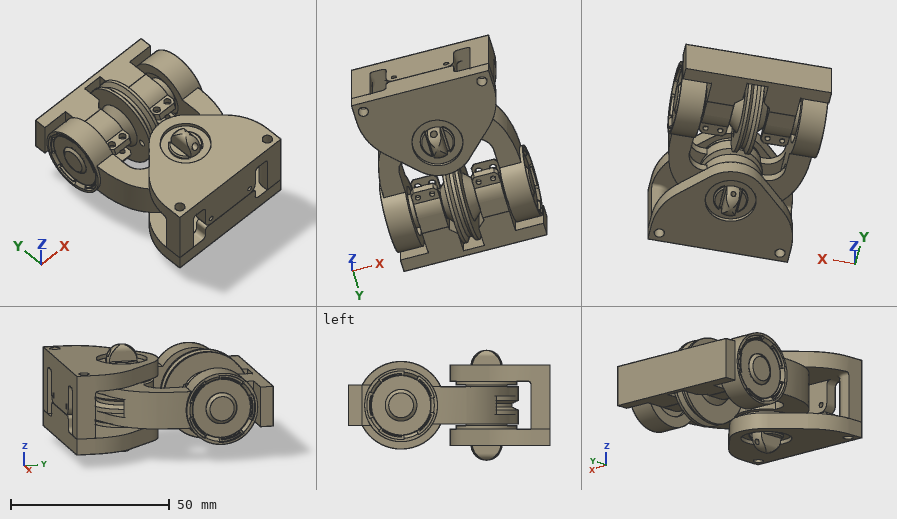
import cadquery as cq
import math

AXLE_Y = 26.95

CLEVIS_HALF_WIDTH = 22.5
CLEVIS_HALF_HEIGHT = 12.7
PLATE_THICKNESS = 5.15
PLATE_INNER_Z = CLEVIS_HALF_HEIGHT - PLATE_THICKNESS
WALL_FRONT_Y = -20.0
WALL_THICKNESS = 6.05
WALL_BACK_Y = WALL_FRONT_Y + WALL_THICKNESS
NOSE_RADIUS = 23.0 / 2
SHOULDER_Y = -0.95
TONGUE_HALF_WIDTH = 11.05
TONGUE_THICKNESS = 4.0
LEG_INNER_X = 16.4
WALL_SPLIT_Z = -2.55
WALL_SPLIT_GAP = 0.1
WINDOW_FILLET = 1.6
TONGUE_CORNER_RADIUS = 2.7
BLOCK_CORNER_RADIUS = 0.95
LEG_CORNER_RADIUS = 3.8
LEG_FILLET = 1.0
CORNER_HOLE_DIAMETER = 3.2
CORNER_HOLE_X = 19.45
CORNER_HOLE_Y = -17.0
SCREW_HOLE_DIAMETER = 1.6
SCREW_HOLE_X = 8.6

HINGE_FLANGE_DIAMETER = 19.1
SLEEVE_DIAMETER = 16.0
HINGE_BOSS_DIAMETER = 13.0
HINGE_FLANGE_THICKNESS = 1.15
HINGE_RECESS_DEPTH = 1.3
HINGE_FLOOR_Z = CLEVIS_HALF_HEIGHT - HINGE_RECESS_DEPTH

PIN_DIAMETER = 9.9
COLLAR_DIAMETER = 10.9
PIN_HALF_HEIGHT = CLEVIS_HALF_HEIGHT - 0.25
PIN_SLOT_WIDTH = 5.9
PIN_SLOT_FLOOR_Z = HINGE_FLOOR_Z - 0.5
LUG_WIDTH = 4.05
LUG_BALL_RADIUS = 9.8 / 2
LUG_TOP_Z = 17.35
LUG_HOLE_DIAMETER = 1.5
LUG_COUNTERBORE_DIAMETER = 2.2
LUG_COUNTERBORE_DEPTH = 3.8
LUG_HOLE_Z = 14.7

ARM_HALF_THICKNESS = 5.9
PRONG_OUTER_X = 22.5
PRONG_INNER_X = 15.45
CROTCH_Y = 5.1
CROTCH_RADIUS = 5.6
EYE_DIAMETER = 23.0
EYE_OUTER_X = 47.0 / 2
HUB_RADIUS = 20.0 / 2
CABLE_SLOT_WIDTH = 5.85
GROOVE_MOUTH_WIDTH = 3.05
GROOVE_FLOOR_WIDTH = 1.15
HUB_GROOVE_DEPTH = 1.9
HUB_TANGENT_ANGLE = 63.3

MOUTH_FLOOR_DIAMETER = 18.7
MOUTH_DIAMETER = 21.0
GROOVE_OUTER_DIAMETER = 21.6
GROOVE_FLOOR_DEPTH = 1.2
TAB_OUTER_DIAMETER = 20.0
TAB_INNER_DIAMETER = 19.3
TAB_DEPTH = 0.2
TAB_COUNT = 5
GROOVE_ANGLE = 46.0
TAB_ANGLE = 37.0

SPOOL_BEARING_DIAMETER = 19.0
SPOOL_BEARING_FACE_X = 22.5
SPOOL_FLANGE_THICKNESS = 1.15
SPOOL_RECESS_DEPTH = 1.3
SPOOL_FLOOR_X = PRONG_INNER_X + SPOOL_RECESS_DEPTH

SHAFT_DIAMETER = 10.0
SHAFT_END_X = 23.2
SHAFT_CHAMFER = 1.1
SHAFT_COLLAR_START_X = 14.5
SPOOL_RADIUS = 13.85
SPOOL_HALF_WIDTH = 2.55
SPOOL_GROOVE_DEPTH = 1.5
SPOOL_CONE_RADIUS = 7.8
SPOOL_CONE_END_X = 5.45
CABLE_HOLE_DIAMETER = 2.2
CABLE_HOLE_OFFSET = 10.0

FRAME_BACK_Y = WALL_FRONT_Y + 63.55
FRAME_BAR_DEPTH = 4.2
FRAME_HALF_HEIGHT = 6.4
CLAMP_INNER_X = 5.65
CLAMP_OUTER_X = 14.3
SPOOL_NOTCH_HALF_WIDTH = 3.4
SPOOL_NOTCH_DEPTH_Y = AXLE_Y + 14.75
SPOOL_NOTCH_FLARE_START = AXLE_Y + 8.45
SPOOL_NOTCH_FLARE_END = AXLE_Y + 6.3
TANG_HALF_HEIGHT = 4.75
TANG_FRONT_Y = AXLE_Y - 9.15
TANG_NOSE_SETBACK = 0.8
CLAMP_GAP = 5.7
CLAMP_HALF_HEIGHT = 6.55
CLAMP_BACK_Y = AXLE_Y + 5.3
TANG_CORNER_CHAMFER = 1.0
TANG_CLEARANCE_DIAMETER = 2.2
TANG_THREAD_DIAMETER = 1.6
TANG_HOLE_OFFSETS = (2.0, 6.7)
TANG_HOLE_Y = AXLE_Y - 6.35


def box(x0, x1, y0, y1, z0, z1):
    return cq.Workplane().box(x1 - x0, y1 - y0, z1 - z0, centered=False).translate((x0, y0, z0))


def disc_z(diameter, z0, z1):
    return cq.Workplane().workplane(offset=z0).circle(diameter / 2).extrude(z1 - z0)


def disc_x(diameter, x0, x1):
    """Cylinder on the spool axis."""
    return cq.Workplane("YZ", origin=(x0, AXLE_Y, 0)).circle(diameter / 2).extrude(x1 - x0)


def cone_x(diameter_0, diameter_1, x0, x1):
    """Cone frustum on the spool axis."""
    cone = cq.Solid.makeCone(
        diameter_0 / 2, diameter_1 / 2, x1 - x0, cq.Vector(x0, AXLE_Y, 0), cq.Vector(1, 0, 0)
    )
    return cq.Workplane(obj=cone)


def hole_y(diameter, x, z, y0, y1):
    return cq.Workplane("XZ", origin=(x, y0, z)).circle(diameter / 2).extrude(y0 - y1)


def tangent_arc_middle(start, end):
    """Middle of the arc that leaves start along Y and curves inwards to end, both at x > 0."""
    drop_x = start[0] - end[0]
    drop_y = start[1] - end[1]
    radius = (drop_x**2 + drop_y**2) / (2 * drop_x)
    half_angle = math.asin(drop_y / radius) / 2
    return (start[0] - radius * (1 - math.cos(half_angle)), start[1] - radius * math.sin(half_angle))


def mirrored(point):
    return (-point[0], point[1])


def clevis_plate():
    """Plate on the +Z side, with the bearing bore, before its part of the wall is added."""
    tangent = NOSE_RADIUS * math.sqrt(0.5)
    side_end = (CLEVIS_HALF_WIDTH, WALL_BACK_Y)
    shoulder = (2 * tangent - SHOULDER_Y, SHOULDER_Y)
    arc_middle = tangent_arc_middle(side_end, shoulder)
    plate = (
        cq.Workplane()
        .workplane(offset=PLATE_INNER_Z)
        .moveTo(-CLEVIS_HALF_WIDTH, WALL_FRONT_Y)
        .lineTo(CLEVIS_HALF_WIDTH, WALL_FRONT_Y)
        .lineTo(*side_end)
        .threePointArc(arc_middle, shoulder)
        .lineTo(tangent, tangent)
        .threePointArc((0, NOSE_RADIUS), (-tangent, tangent))
        .lineTo(*mirrored(shoulder))
        .threePointArc(mirrored(arc_middle), mirrored(side_end))
        .close()
        .extrude(PLATE_THICKNESS)
    )
    return plate.cut(disc_z(SLEEVE_DIAMETER, PLATE_INNER_Z, CLEVIS_HALF_HEIGHT))


def drill_corner_holes(body):
    for x in (-CORNER_HOLE_X, CORNER_HOLE_X):
        hole = disc_z(CORNER_HOLE_DIAMETER, -CLEVIS_HALF_HEIGHT, CLEVIS_HALF_HEIGHT)
        body = body.cut(hole.translate((x, CORNER_HOLE_Y, 0)))
    return body


def tongue_block(z0, z1):
    tongue_back_y = WALL_FRONT_Y + TONGUE_THICKNESS
    return box(-TONGUE_HALF_WIDTH, TONGUE_HALF_WIDTH, WALL_FRONT_Y, tongue_back_y, z0, z1)


def leg():
    """Leg on the +X side, rounded at its inner back edge."""
    post = box(
        LEG_INNER_X, CLEVIS_HALF_WIDTH, WALL_FRONT_Y, WALL_BACK_Y, -PLATE_INNER_Z, PLATE_INNER_Z
    )
    return post.edges("|Z and <X and >Y").fillet(LEG_CORNER_RADIUS)


def fillet_at(body, points, radius):
    """Fillet the edges whose middles lie at the given points."""
    for point in points:
        body = body.edges(cq.NearestToPointSelector(point)).fillet(radius)
    return body


def upper_clevis():
    """Plate with two legs that stand on the lower plate and a tongue between them."""
    tongue = tongue_block(WALL_SPLIT_Z, PLATE_INNER_Z)
    tongue = tongue.edges("|Y and <Z").fillet(TONGUE_CORNER_RADIUS)
    body = clevis_plate().union(leg()).union(leg().mirror("YZ")).union(tongue)
    body = drill_corner_holes(body)
    tongue_middle_y = WALL_FRONT_Y + TONGUE_THICKNESS / 2
    leg_straight_middle_y = (WALL_FRONT_Y + WALL_BACK_Y - LEG_CORNER_RADIUS) / 2
    for side in (-1, 1):
        tongue_root = (side * TONGUE_HALF_WIDTH, tongue_middle_y, PLATE_INNER_Z)
        leg_root = (side * LEG_INNER_X, leg_straight_middle_y, PLATE_INNER_Z)
        body = fillet_at(body, [tongue_root], WINDOW_FILLET)
        body = fillet_at(body, [leg_root], LEG_FILLET)
    for x in (-SCREW_HOLE_X, SCREW_HOLE_X):
        body = body.cut(hole_y(SCREW_HOLE_DIAMETER, x, 0, WALL_FRONT_Y, WALL_BACK_Y))
    return body


def lower_clevis():
    """Plate with a raised block that meets the tongue of the upper plate."""
    block = tongue_block(-PLATE_INNER_Z, WALL_SPLIT_Z - WALL_SPLIT_GAP)
    block = block.edges("|Y and >Z").fillet(BLOCK_CORNER_RADIUS)
    body = clevis_plate().mirror("XY").union(block)
    middle_y = WALL_FRONT_Y + TONGUE_THICKNESS / 2
    feet = [(side * TONGUE_HALF_WIDTH, middle_y, -PLATE_INNER_Z) for side in (-1, 1)]
    return drill_corner_holes(fillet_at(body, feet, WINDOW_FILLET))


def hinge_bearing():
    """Flanged bearing on the +Z side."""
    flange_inner_z = PLATE_INNER_Z - HINGE_FLANGE_THICKNESS
    boss = disc_z(HINGE_BOSS_DIAMETER, ARM_HALF_THICKNESS, flange_inner_z)
    flange = disc_z(HINGE_FLANGE_DIAMETER, flange_inner_z, PLATE_INNER_Z)
    sleeve = disc_z(SLEEVE_DIAMETER, PLATE_INNER_Z, HINGE_FLOOR_Z)
    bore = disc_z(PIN_DIAMETER, 0, HINGE_FLOOR_Z)
    return boss.union(flange).union(sleeve).cut(bore)


def pin_lug():
    """Ball-ended lug on the +Z end of the pin, with a cross hole counterbored from the front."""
    round_radius = LUG_WIDTH / 2
    round_z = LUG_TOP_Z - round_radius
    ball_z = LUG_TOP_Z - LUG_BALL_RADIUS
    ball = cq.Workplane().sphere(LUG_BALL_RADIUS).translate((0, 0, ball_z))
    stem = disc_z(2 * LUG_BALL_RADIUS, PIN_SLOT_FLOOR_Z, ball_z)
    profile = (
        cq.Workplane("XZ", origin=(0, LUG_BALL_RADIUS, 0))
        .moveTo(-round_radius, PIN_SLOT_FLOOR_Z)
        .lineTo(round_radius, PIN_SLOT_FLOOR_Z)
        .lineTo(round_radius, round_z)
        .threePointArc((0, LUG_TOP_Z), (-round_radius, round_z))
        .close()
        .extrude(2 * LUG_BALL_RADIUS)
    )
    lug = ball.union(stem).intersect(profile)
    lug = lug.cut(hole_y(LUG_HOLE_DIAMETER, 0, LUG_HOLE_Z, -LUG_BALL_RADIUS, LUG_BALL_RADIUS))
    counterbore_end = LUG_COUNTERBORE_DEPTH - LUG_BALL_RADIUS
    return lug.cut(
        hole_y(LUG_COUNTERBORE_DIAMETER, 0, LUG_HOLE_Z, -LUG_BALL_RADIUS, counterbore_end)
    )


def hinge_pin():
    """Pin with a collar at each end; a slot splits the collar and holds the lug."""
    pin = disc_z(PIN_DIAMETER, -PIN_HALF_HEIGHT, PIN_HALF_HEIGHT)
    collar = disc_z(COLLAR_DIAMETER, HINGE_FLOOR_Z, PIN_HALF_HEIGHT)
    collar = collar.faces(">Z").chamfer((COLLAR_DIAMETER - PIN_DIAMETER) / 2)
    half_slot = PIN_SLOT_WIDTH / 2
    slot = box(
        -half_slot, half_slot, -COLLAR_DIAMETER, COLLAR_DIAMETER, PIN_SLOT_FLOOR_Z, PIN_HALF_HEIGHT
    )
    lug = pin_lug()
    pin = pin.union(collar).union(collar.mirror("XY"))
    pin = pin.cut(slot).cut(slot.mirror("XY"))
    return pin.union(lug).union(lug.mirror("XY"))


def arm_outline():
    """Solid fork, full thickness, before eyes, hub and cable slot."""
    prong_end = (PRONG_OUTER_X, 15.8)
    bend = (21.15, 6.3)
    flank = (17.5, SHOULDER_Y)
    heel = (7.95, -7.25)
    tangent_angle = math.radians(HUB_TANGENT_ANGLE)
    toe = (HUB_RADIUS * math.cos(tangent_angle), -HUB_RADIUS * math.sin(tangent_angle))
    bend_middle = tangent_arc_middle(prong_end, bend)
    fork = (
        cq.Workplane()
        .workplane(offset=-ARM_HALF_THICKNESS)
        .moveTo(PRONG_OUTER_X, AXLE_Y)
        .lineTo(*prong_end)
        .threePointArc(bend_middle, bend)
        .threePointArc(flank, heel)
        .lineTo(*toe)
        .lineTo(*mirrored(toe))
        .lineTo(*mirrored(heel))
        .threePointArc(mirrored(flank), mirrored(bend))
        .threePointArc(mirrored(bend_middle), mirrored(prong_end))
        .lineTo(-PRONG_OUTER_X, AXLE_Y)
        .close()
        .extrude(2 * ARM_HALF_THICKNESS)
    )
    crotch = box(
        -PRONG_INNER_X, PRONG_INNER_X, CROTCH_Y, AXLE_Y + EYE_DIAMETER,
        -ARM_HALF_THICKNESS, ARM_HALF_THICKNESS,
    )
    crotch = crotch.edges("|Z and <Y").fillet(CROTCH_RADIUS)
    return fork.cut(crotch)


def grooved_hub():
    groove_floor_radius = HUB_RADIUS - HUB_GROOVE_DEPTH
    return (
        cq.Workplane("XZ")
        .moveTo(0, -ARM_HALF_THICKNESS)
        .lineTo(HUB_RADIUS, -ARM_HALF_THICKNESS)
        .lineTo(HUB_RADIUS, -GROOVE_MOUTH_WIDTH / 2)
        .lineTo(groove_floor_radius, -GROOVE_FLOOR_WIDTH / 2)
        .lineTo(groove_floor_radius, GROOVE_FLOOR_WIDTH / 2)
        .lineTo(HUB_RADIUS, GROOVE_MOUTH_WIDTH / 2)
        .lineTo(HUB_RADIUS, ARM_HALF_THICKNESS)
        .lineTo(0, ARM_HALF_THICKNESS)
        .close()
        .revolve(360, (0, 0, 0), (0, 1, 0))
    )


def eye_sector(diameter, angle, depth):
    """Round-ended sector of the +X eye, centred on -Y and reaching in from its outer face."""
    half_angle = math.radians(angle / 2)
    half_chord = EYE_DIAMETER * math.tan(half_angle)
    wedge = (
        cq.Workplane("YZ", origin=(EYE_OUTER_X - depth, AXLE_Y, 0))
        .polyline([(0, 0), (-EYE_DIAMETER, -half_chord), (-EYE_DIAMETER, half_chord)])
        .close()
        .extrude(depth)
    )
    return wedge.intersect(disc_x(diameter, EYE_OUTER_X - depth, EYE_OUTER_X))


def eye_pocket():
    """Opening in the outer face of the +X eye: a flared mouth and the grooves around the tabs."""
    groove_floor_x = EYE_OUTER_X - GROOVE_FLOOR_DEPTH
    tab_top_x = EYE_OUTER_X - TAB_DEPTH
    core = disc_x(MOUTH_FLOOR_DIAMETER, groove_floor_x, EYE_OUTER_X)
    tab = eye_sector(TAB_OUTER_DIAMETER, TAB_ANGLE, GROOVE_FLOOR_DEPTH)
    tab = tab.cut(disc_x(TAB_OUTER_DIAMETER, tab_top_x, EYE_OUTER_X)).cut(core)
    tab = tab.cut(
        cone_x(MOUTH_FLOOR_DIAMETER, TAB_INNER_DIAMETER, SPOOL_BEARING_FACE_X, tab_top_x)
    )
    groove = eye_sector(GROOVE_OUTER_DIAMETER, GROOVE_ANGLE, GROOVE_FLOOR_DEPTH).cut(core)
    pocket = cone_x(MOUTH_FLOOR_DIAMETER, MOUTH_DIAMETER, SPOOL_BEARING_FACE_X, EYE_OUTER_X)
    for index in range(TAB_COUNT):
        turn = (index + 0.5) * 360 / TAB_COUNT
        pocket = pocket.union(groove.rotate((0, AXLE_Y, 0), (1, AXLE_Y, 0), turn))
        pocket = pocket.cut(tab.rotate((0, AXLE_Y, 0), (1, AXLE_Y, 0), turn))
    return pocket


def arm():
    body = arm_outline()
    half_slot = CABLE_SLOT_WIDTH / 2
    body = body.cut(
        box(-PRONG_INNER_X, PRONG_INNER_X, -HUB_RADIUS, CROTCH_Y + CROTCH_RADIUS, -half_slot, half_slot)
    )
    body = body.union(grooved_hub())
    body = body.cut(disc_z(PIN_DIAMETER, -ARM_HALF_THICKNESS, ARM_HALF_THICKNESS))
    eye = disc_x(EYE_DIAMETER, PRONG_INNER_X, EYE_OUTER_X)
    recess = disc_x(SLEEVE_DIAMETER, PRONG_INNER_X, SPOOL_FLOOR_X)
    pocket = eye_pocket().union(spool_bearing_blank()).union(recess)
    body = body.union(eye).cut(pocket)
    return body.union(eye.mirror("YZ")).cut(pocket.mirror("YZ"))


def spool_bearing_blank():
    """Bearing on the +X side before its shaft bore."""
    flange_inner_x = SPOOL_BEARING_FACE_X - SPOOL_FLANGE_THICKNESS
    flange = disc_x(SPOOL_BEARING_DIAMETER, flange_inner_x, SPOOL_BEARING_FACE_X)
    sleeve = disc_x(SLEEVE_DIAMETER, SPOOL_FLOOR_X, flange_inner_x)
    return flange.union(sleeve)


def spool_bearing():
    return spool_bearing_blank().cut(disc_x(SHAFT_DIAMETER, 0, SHAFT_END_X))


def spool():
    """Grooved disc with conical cheeks on a chamfered shaft that has a collar at each bearing."""
    disc = disc_x(2 * SPOOL_RADIUS, -SPOOL_HALF_WIDTH, SPOOL_HALF_WIDTH)
    floor_radius = SPOOL_RADIUS - SPOOL_GROOVE_DEPTH
    groove = (
        cq.Workplane()
        .moveTo(-GROOVE_MOUTH_WIDTH / 2, AXLE_Y + SPOOL_RADIUS)
        .lineTo(-GROOVE_FLOOR_WIDTH / 2, AXLE_Y + floor_radius)
        .lineTo(GROOVE_FLOOR_WIDTH / 2, AXLE_Y + floor_radius)
        .lineTo(GROOVE_MOUTH_WIDTH / 2, AXLE_Y + SPOOL_RADIUS)
        .close()
        .revolve(360, (0, AXLE_Y, 0), (1, AXLE_Y, 0))
    )
    shaft = disc_x(SHAFT_DIAMETER, -SHAFT_END_X, SHAFT_END_X).faces("|X").chamfer(SHAFT_CHAMFER)
    cheek = cone_x(2 * SPOOL_CONE_RADIUS, SHAFT_DIAMETER, SPOOL_HALF_WIDTH, SPOOL_CONE_END_X)
    collar = disc_x(COLLAR_DIAMETER, SHAFT_COLLAR_START_X, SPOOL_FLOOR_X)
    cable_hole = disc_x(CABLE_HOLE_DIAMETER, -SPOOL_HALF_WIDTH, SPOOL_HALF_WIDTH)
    body = disc.cut(groove).union(shaft)
    for side_part in (cheek, collar):
        body = body.union(side_part).union(side_part.mirror("YZ"))
    return body.cut(cable_hole.translate((0, -CABLE_HOLE_OFFSET, 0)))


def clamp():
    """Clamp on the +X side: a barrel on the shaft, split in front between two drilled tangs."""
    height = CLAMP_HALF_HEIGHT
    gap_z = CLAMP_GAP / 2
    block = box(CLAMP_INNER_X, CLAMP_OUTER_X, AXLE_Y, CLAMP_BACK_Y, -height, height)
    barrel = disc_x(2 * height, CLAMP_INNER_X, CLAMP_OUTER_X)
    tang = box(CLAMP_INNER_X, CLAMP_OUTER_X, TANG_FRONT_Y, AXLE_Y, gap_z, TANG_HALF_HEIGHT)
    nose_bevel = (
        cq.Workplane("YZ")
        .moveTo(TANG_FRONT_Y, gap_z)
        .lineTo(TANG_FRONT_Y, TANG_HALF_HEIGHT)
        .lineTo(TANG_FRONT_Y + TANG_NOSE_SETBACK, TANG_HALF_HEIGHT)
        .close()
        .extrude(CLAMP_OUTER_X)
    )
    tang = tang.cut(nose_bevel).faces("<Y").edges("not |X").chamfer(TANG_CORNER_CHAMFER)
    gap = box(CLAMP_INNER_X, CLAMP_OUTER_X, TANG_FRONT_Y, AXLE_Y, -gap_z, gap_z)
    body = block.union(barrel).cut(gap).union(tang).union(tang.mirror("XY"))
    for offset in TANG_HOLE_OFFSETS:
        center = (CLAMP_INNER_X + offset, TANG_HOLE_Y, 0)
        clearance = disc_z(TANG_CLEARANCE_DIAMETER, gap_z, TANG_HALF_HEIGHT)
        thread = disc_z(TANG_THREAD_DIAMETER, -TANG_HALF_HEIGHT, -gap_z)
        body = body.cut(clearance.translate(center)).cut(thread.translate(center))
    return body


def frame():
    height = FRAME_HALF_HEIGHT
    bar_front_y = FRAME_BACK_Y - FRAME_BAR_DEPTH
    bar = box(-EYE_OUTER_X, EYE_OUTER_X, bar_front_y, FRAME_BACK_Y, -height, height)
    web = box(-CLAMP_OUTER_X, CLAMP_OUTER_X, CLAMP_BACK_Y, bar_front_y, -height, height)
    notch_outline = [
        (CLAMP_INNER_X, CLAMP_BACK_Y),
        (CLAMP_INNER_X, SPOOL_NOTCH_FLARE_END),
        (SPOOL_NOTCH_HALF_WIDTH, SPOOL_NOTCH_FLARE_START),
        (SPOOL_NOTCH_HALF_WIDTH, SPOOL_NOTCH_DEPTH_Y),
        (-SPOOL_NOTCH_HALF_WIDTH, SPOOL_NOTCH_DEPTH_Y),
        (-SPOOL_NOTCH_HALF_WIDTH, SPOOL_NOTCH_FLARE_START),
        (-CLAMP_INNER_X, SPOOL_NOTCH_FLARE_END),
        (-CLAMP_INNER_X, CLAMP_BACK_Y),
    ]
    notch = cq.Workplane().polyline(notch_outline).close().extrude(height, both=True)
    body = bar.union(web).cut(notch).union(clamp()).union(clamp().mirror("YZ"))
    return body.cut(disc_x(SHAFT_DIAMETER, -CLAMP_OUTER_X, CLAMP_OUTER_X))


bodies = [upper_clevis(), lower_clevis(), hinge_pin(), arm(), spool(), frame()]
for bearing, mirror_plane in ((hinge_bearing(), "XY"), (spool_bearing(), "YZ")):
    bodies.append(bearing)
    bodies.append(bearing.mirror(mirror_plane))

result = cq.Compound.makeCompound([body.solids().val() for body in bodies])